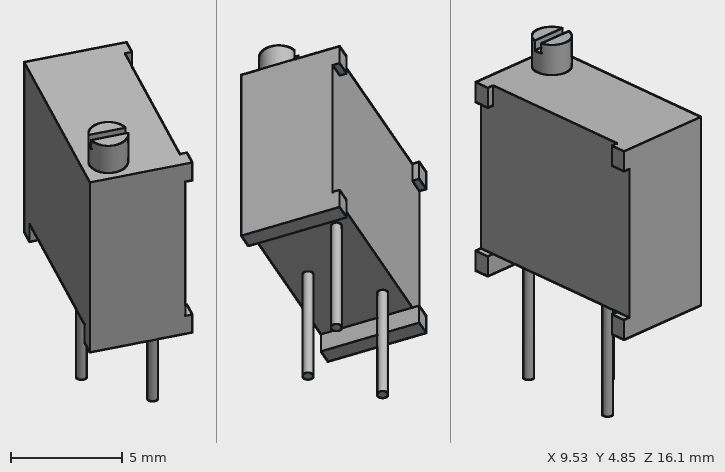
import cadquery as cq

body_width = 9.53
body_height = 9.53
body_depth = 4.85

standoff_width = 0.79
standoff_height = 1.01
pad_thickness = 0.34

screw_diameter = 1.8
screw_x = 3.5
screw_y = 1.28
screw_height = 1.52
slot_width = 0.4
slot_depth = 0.5

overall_height = 16.05
pin_diameter = 0.5
pin_pitch = 2.54
front_pin_y = 1.15
pin_length = overall_height - body_height - screw_height
pin_positions = [
    (-pin_pitch, front_pin_y + pin_pitch),
    (0, front_pin_y),
    (pin_pitch, front_pin_y + pin_pitch),
]


def box(size_x, size_y, size_z, y_start, z_start):
    """Box centred on x = 0, reaching back from y_start and up from z_start."""
    block = cq.Workplane("XY").box(size_x, size_y, size_z, centered=(True, False, False))
    return block.translate((0, y_start, z_start))


def make_body():
    gap_width = body_width - 2 * standoff_width
    gap_height = body_height - 2 * standoff_height
    pad_front_y = body_depth - pad_thickness

    block = box(body_width, body_depth, body_height, 0, 0)
    gap_between_feet = box(gap_width, body_depth, standoff_height, 0, 0)
    upright_recess = box(gap_width, pad_thickness, body_height, pad_front_y, 0)
    level_recess = box(body_width, pad_thickness, gap_height, pad_front_y, standoff_height)
    return block.cut(gap_between_feet).cut(upright_recess).cut(level_recess)


def make_screw():
    screw = cq.Workplane("XY").circle(screw_diameter / 2).extrude(screw_height)
    slot = box(slot_width, screw_diameter, slot_depth, -screw_diameter / 2, screw_height - slot_depth)
    return screw.cut(slot).translate((screw_x, screw_y, body_height))


def make_pins():
    return (
        cq.Workplane("XY", origin=(0, 0, -pin_length))
        .pushPoints(pin_positions)
        .circle(pin_diameter / 2)
        .extrude(pin_length + standoff_height)
    )


result = make_body().union(make_screw()).union(make_pins())